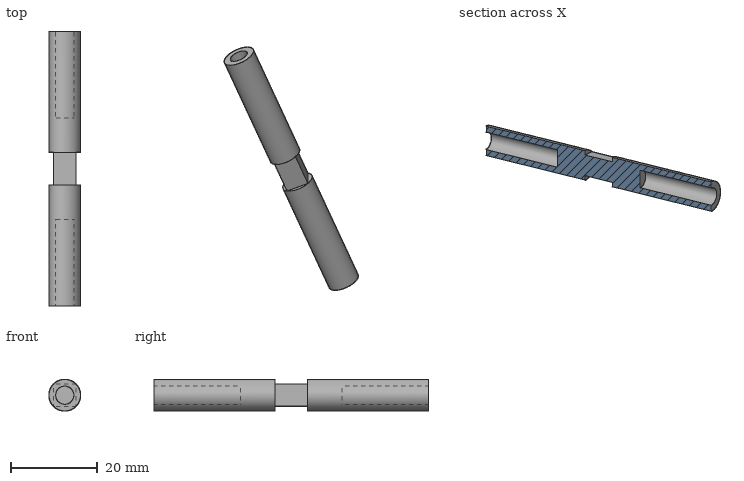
import cadquery as cq
import math

bar_length = 63.5
bar_diameter = 7.37
square_length = 7.5
square_side = bar_diameter / math.sqrt(2)
hole_diameter = 4.2
hole_depth = 20.0


def y_cylinder(diameter, start, length):
    """Cylinder on the Y axis, running toward +Y from Y = start."""
    return cq.Workplane("XZ", origin=(0, start, 0)).circle(diameter / 2).extrude(-length)


def make_bar():
    """Two round lengths joined by the square wrench section."""
    round_length = (bar_length - square_length) / 2
    front = y_cylinder(bar_diameter, -bar_length / 2, round_length)
    back = y_cylinder(bar_diameter, square_length / 2, round_length)
    square = cq.Workplane("XY").box(square_side, square_length, square_side)
    return front.union(square).union(back)


def make_end_holes():
    """Flat-bottomed holes, one from each end face."""
    front = y_cylinder(hole_diameter, -bar_length / 2, hole_depth)
    back = y_cylinder(hole_diameter, bar_length / 2 - hole_depth, hole_depth)
    return front.union(back)


result = make_bar().cut(make_end_holes())